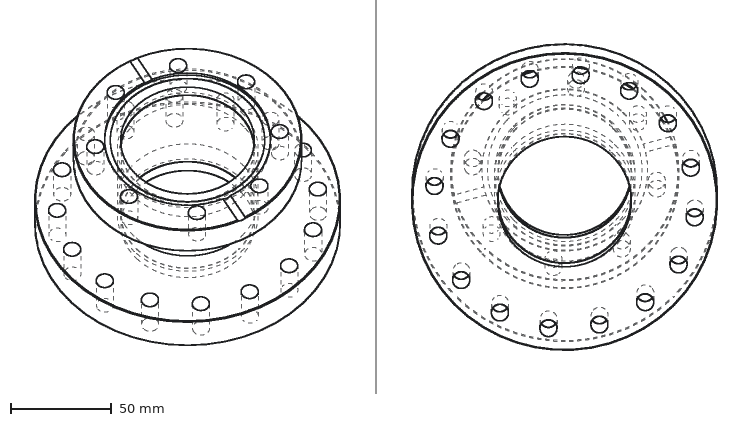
import cadquery as cq

total_height = 70.0
base_thickness = 20.0
top_thickness = 17.5
edge_chamfer = 0.5

base_diameter = 152.0
base_bolt_circle = 130.3
base_bolt_count = 16
top_diameter = 113.5
top_bolt_circle = 92.1
top_bolt_count = 8
bolt_hole_diameter = 8.5

tube_outer_diameter = 70.0
tube_inner_diameter = 66.0
lip_bore_diameter = 66.5
tube_setback = 7.6

recess_diameter = 82.5
knife_diameter = 76.8
knife_depth = 0.8
recess_floor_depth = 1.0
recess_root_depth = 1.7

groove_width = 4.3
groove_depth = 0.8


def cylinder(diameter, bottom, top):
    """Upright cylinder on the common axis."""
    return cq.Workplane("XY").workplane(offset=bottom).circle(diameter / 2).extrude(top - bottom)


def drilled_disc(diameter, bottom, top, bolt_circle, bolt_count, start_angle):
    """Disc with chamfered rims and a ring of through bolt holes."""
    disc = cylinder(diameter, bottom, top).edges().chamfer(edge_chamfer)
    bolt_holes = (
        cq.Workplane("XY")
        .workplane(offset=bottom)
        .polarArray(bolt_circle / 2, start_angle, 360, bolt_count)
        .circle(bolt_hole_diameter / 2)
        .extrude(top - bottom)
    )
    return disc.cut(bolt_holes)


def make_base_flange():
    flange = drilled_disc(base_diameter, 0, base_thickness, base_bolt_circle, base_bolt_count, 0)
    lip_bore = cylinder(lip_bore_diameter, 0, tube_setback)
    socket = cylinder(tube_outer_diameter, tube_setback, base_thickness)
    return flange.cut(lip_bore).cut(socket)


def make_tube():
    bottom = tube_setback
    top = total_height - tube_setback
    return cylinder(tube_outer_diameter, bottom, top).cut(cylinder(tube_inner_diameter, bottom, top))


def make_seal_recess():
    """Recess whose floor carries a knife edge sloping down and outward to the wall."""
    profile = [
        (0, total_height),
        (recess_diameter / 2, total_height),
        (recess_diameter / 2, total_height - recess_root_depth),
        (knife_diameter / 2, total_height - knife_depth),
        (knife_diameter / 2, total_height - recess_floor_depth),
        (0, total_height - recess_floor_depth),
    ]
    return cq.Workplane("XZ").polyline(profile).close().revolve(360, (0, 0, 0), (0, 1, 0))


def make_leak_grooves():
    """Two shallow round-bottomed grooves along X, from the recess wall to the rim."""
    radius = (groove_width**2 / 4 + groove_depth**2) / (2 * groove_depth)
    rod = (
        cq.Workplane("YZ")
        .center(0, total_height - groove_depth + radius)
        .circle(radius)
        .extrude(top_diameter / 2, both=True)
    )
    keep_clear = cylinder(recess_diameter, total_height - top_thickness, total_height + 2 * radius)
    return rod.cut(keep_clear)


def make_top_flange():
    bottom = total_height - top_thickness
    half_pitch = 180 / top_bolt_count
    flange = drilled_disc(
        top_diameter, bottom, total_height, top_bolt_circle, top_bolt_count, half_pitch
    )
    socket = cylinder(tube_outer_diameter, bottom, total_height - tube_setback)
    lip_bore = cylinder(lip_bore_diameter, total_height - tube_setback, total_height)
    return flange.cut(socket).cut(lip_bore).cut(make_seal_recess()).cut(make_leak_grooves())


base_flange = make_base_flange()
tube = make_tube()
top_flange = make_top_flange()

result = cq.Compound.makeCompound([base_flange.val(), tube.val(), top_flange.val()])